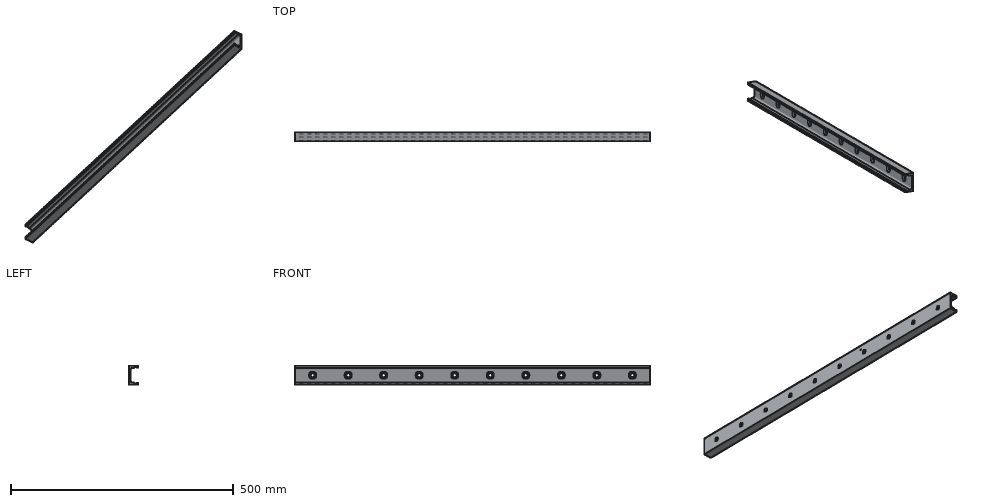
import cadquery as cq

length = 800.0
depth = 21.0
height = 43.0

web_thickness = 4.0
lip_thickness = 5.0
lip_length = 2.0
race_length = 8.0
race_floor_thickness = 3.0
ledge_thickness = 6.0
corner_radius = 3.0

hole_count = 10
hole_pitch = length / hole_count
hole_diameter = 9.0
countersink_diameter = 17.0
countersink_angle = 100.0

back_y = depth / 2
front_y = -depth / 2
web_face_y = back_y - web_thickness
race_front_y = front_y + lip_length
race_back_y = race_front_y + race_length
race_middle_y = (race_front_y + race_back_y) / 2
outer_z = height / 2
lip_z = outer_z - lip_thickness
race_floor_z = outer_z - race_floor_thickness
ledge_z = outer_z - ledge_thickness


def make_half_cavity(side):
    """Upper (side = 1) or lower (side = -1) half of the cavity, with its concave ball race."""
    return (
        cq.Workplane("YZ", origin=(-length / 2, 0, 0))
        .moveTo(front_y, 0)
        .lineTo(front_y, side * lip_z)
        .lineTo(race_front_y, side * lip_z)
        .threePointArc((race_middle_y, side * race_floor_z), (race_back_y, side * ledge_z))
        .lineTo(web_face_y, side * ledge_z)
        .lineTo(web_face_y, 0)
        .close()
        .extrude(length)
        .edges(cq.selectors.NearestToPointSelector((0, web_face_y, side * ledge_z)))
        .fillet(corner_radius)
    )


def make_channel():
    """C-shaped channel, hollowed from a solid bar."""
    channel = cq.Workplane("XY").box(length, depth, height)
    for side in (1, -1):
        channel = channel.cut(make_half_cavity(side))
    return channel


def drill_mounting_holes(rail):
    """Countersink a row of evenly spaced holes through the web from inside."""
    return (
        rail.copyWorkplane(cq.Workplane("XZ", origin=(0, web_face_y, 0)))
        .rarray(hole_pitch, 8, hole_count, 1)
        .cskHole(hole_diameter, countersink_diameter, countersink_angle, depth=web_thickness)
    )


result = drill_mounting_holes(make_channel())